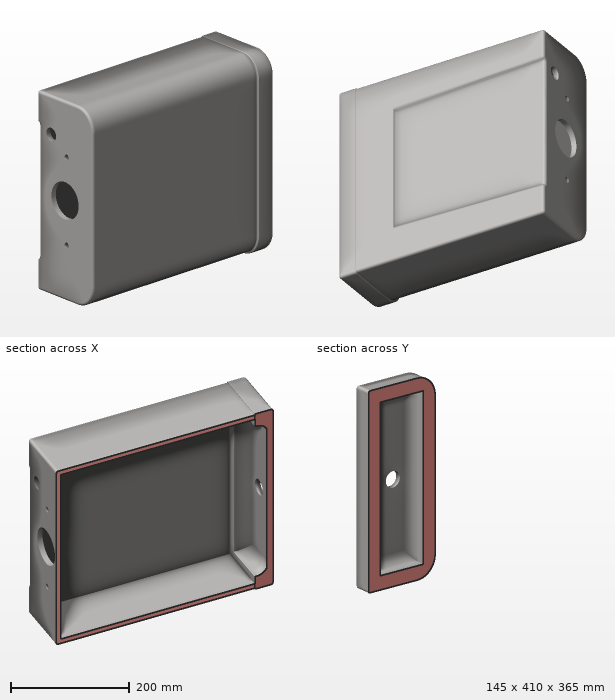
import cadquery as cq

total_depth = 410.0
cover_width = 145.0
cover_height = 365.0
cover_depth = 35.0
cover_side_overhang = 5.0
cover_end_overhang = 1.5
corner_radius = 39.8
edge_radius = 5.0
cover_front_radius = 1.2
wall = 10.0

housing_width = cover_width - cover_side_overhang
housing_height = cover_height - 2 * cover_end_overhang
housing_depth = total_depth - cover_depth

recess_depth = 5.0
recess_length = 300.0
recess_front_half_height = 128.5
recess_back_half_height = 119.5
flank_width = 9.0
flank_radius = 5.7

port_diameter = 68.0
cable_hole_diameter = 24.5
cable_hole_x = 35.3
cable_hole_z = 110.3
screw_hole_diameter = 10.2
screw_hole_x = 74.2
screw_hole_z = 80.0

cover_rim = 27.0
cover_hollow_depth = cover_depth - wall
cover_hollow_radius = 21.7
outlet_diameter = 30.0

overrun = 20.5


def upright_block(width, height, x_start, y_start, depth):
    """Block that starts at the given X and Y, centred on Z = 0."""
    block = cq.Workplane("XY").box(width, depth, height, centered=(False, False, True))
    return block.translate((x_start, y_start, 0))


def rounded_block(width, height, y_start, depth):
    """Block with its left face on X = 0, large rounds on its right corners and small ones on its left."""
    block = upright_block(width, height, 0, y_start, depth)
    return block.edges("|Y and >X").fillet(corner_radius).edges("|Y and <X").fillet(edge_radius)


def front_hole(diameter, x, z, y_start, depth):
    """Cylinder along +Y that cuts a round hole."""
    return cq.Workplane("XZ", origin=(x, y_start, z)).circle(diameter / 2).extrude(-depth)


def recess_section(y, half_height):
    """Closed section across the recess, with an S-shaped flank at the top and the bottom."""
    mid_x = recess_depth / 2
    floor_half = half_height - flank_width
    mid_half = half_height - flank_width / 2
    return (
        cq.Workplane("XZ", origin=(0, y, 0))
        .moveTo(-overrun, -half_height)
        .lineTo(0, -half_height)
        .radiusArc((mid_x, -mid_half), flank_radius)
        .radiusArc((recess_depth, -floor_half), -flank_radius)
        .lineTo(recess_depth, floor_half)
        .radiusArc((mid_x, mid_half), -flank_radius)
        .radiusArc((0, half_height), flank_radius)
        .lineTo(-overrun, half_height)
        .close()
        .val()
    )


def recess_cutter():
    """Tapered slab with S-shaped flanks and a rounded corner where the floor meets the end wall."""
    taper = (recess_front_half_height - recess_back_half_height) / recess_length
    front_section = recess_section(-overrun, recess_front_half_height + taper * overrun)
    back_section = recess_section(recess_length, recess_back_half_height)
    slab = cq.Workplane(cq.Solid.makeLoft([front_section, back_section], True))
    lengthwise = (
        cq.Workplane("XY", origin=(0, 0, -cover_height / 2))
        .moveTo(-overrun, -overrun)
        .lineTo(recess_depth, -overrun)
        .lineTo(recess_depth, recess_length - recess_depth)
        .radiusArc((0, recess_length), -recess_depth)
        .lineTo(-overrun, recess_length)
        .close()
        .extrude(cover_height)
    )
    return slab.intersect(lengthwise)


def housing_cavity():
    """Inside of the housing, open at the back."""
    cavity = upright_block(
        housing_width - 2 * wall,
        housing_height - 2 * wall,
        wall,
        wall,
        housing_depth - wall,
    )
    return cavity.edges("|Y and >X").fillet(corner_radius - wall)


def make_housing():
    """Box with an open back, a recess on its left face and holes in its front wall."""
    body = rounded_block(housing_width, housing_height, 0, housing_depth)
    body = body.cut(recess_cutter())
    body = body.faces("<Y").edges().fillet(edge_radius)
    body = body.cut(housing_cavity())
    holes = [
        (port_diameter, housing_width / 2, 0),
        (cable_hole_diameter, cable_hole_x, cable_hole_z),
        (screw_hole_diameter, screw_hole_x, screw_hole_z),
        (screw_hole_diameter, screw_hole_x, -screw_hole_z),
    ]
    for diameter, x, z in holes:
        body = body.cut(front_hole(diameter, x, z, 0, wall))
    return body


def cover_hollow():
    """Hollow behind the cover's front face, with a large round around its floor."""
    hollow = upright_block(
        cover_width - 2 * cover_rim,
        cover_height - 2 * cover_rim,
        cover_rim,
        housing_depth,
        cover_hollow_depth,
    )
    return hollow.faces(">Y").edges().fillet(cover_hollow_radius)


def make_cover():
    """Hollow cap that closes the back of the housing and overhangs it on three sides."""
    body = rounded_block(cover_width, cover_height, housing_depth, cover_depth)
    body = body.faces(">Y").edges().fillet(edge_radius)
    body = body.cut(cover_hollow())
    body = body.faces("<Y").edges().fillet(cover_front_radius)
    return body.cut(front_hole(outlet_diameter, cover_width / 2, 0, housing_depth, cover_depth))


housing = make_housing()
cover = make_cover()
result = cq.Compound.makeCompound([housing.val(), cover.val()])